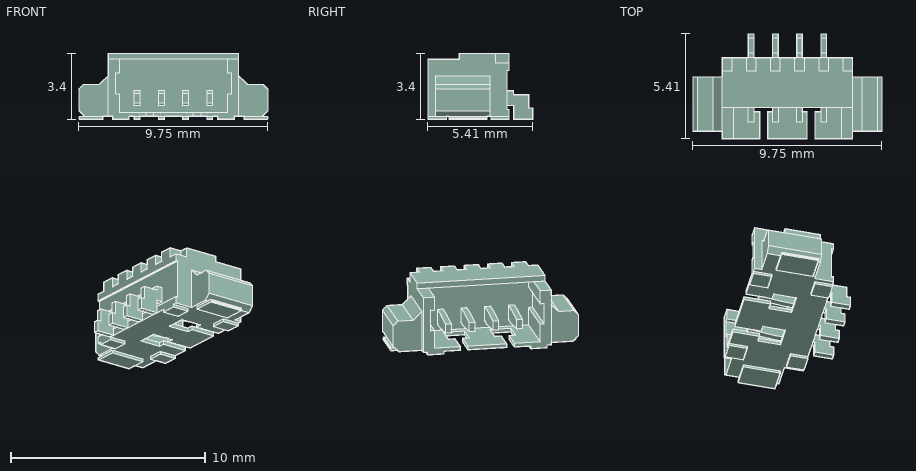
import cadquery as cq

body_width = 6.73
body_depth = 4.18
body_bottom = 0.15
body_top = 3.4
roof_thickness = 0.3
roof_front = 1.61
roof_underside = body_top - roof_thickness

rear_recess_depth = 0.1
rear_recess_bottom = 0.51
rear_recess_top = 2.52
rear_wall_face = body_depth - rear_recess_depth

cavity_width = 5.56
cavity_depth = 3.0
cavity_floor = 0.35
groove_width = 5.97
groove_bottom = 1.3
groove_top = 2.4

notch_width = 0.5
notch_length = 0.69
notch_depth = 0.51

opening_offset = 1.22
slot_width = 0.4
window_width = 1.09
window_front = 1.4
window_back = 2.6

overall_width = 9.75
wing_front = 0.38
wing_back = 3.19
wing_root_top = 2.24
wing_root_x = 3.83
wing_top = 1.8
wing_top_chamfer = 0.24
wing_bottom_chamfer = 0.29
tab_inner_x = 3.64
tab_front = 1.08
tab_back = 3.04
tab_chamfer = 0.04

foot_inner_x = 2.28
foot_outer_x = 3.14
front_foot_length = 0.97
rear_foot_length = 0.94

contact_count = 4
contact_pitch = 1.25
contact_width = 0.3
contact_bottom = 0.7
contact_top = 1.48
contact_tip = 0.88
taper_start = 2.34
tip_taper = 0.15
leg_front = 4.42
leg_shoulder_back = 5.21
leg_shoulder_top = 1.27
toe_back = 5.41
toe_top = 0.59


def block(x_range, y_range, z_range):
    """Box spanning the given X, Y and Z ranges."""
    size = [high - low for low, high in (x_range, y_range, z_range)]
    corner = (x_range[0], y_range[0], z_range[0])
    return cq.Workplane("XY").box(*size, centered=False).translate(corner)


def centered_block(width, y_range, z_range, center_x=0.0):
    """Box of the given width, centred on center_x."""
    return block((center_x - width / 2, center_x + width / 2), y_range, z_range)


def extrude_along_y(points, front, back):
    """Extrude an X-Z outline from Y = front to Y = back."""
    return cq.Workplane("XZ", origin=(0, front, 0)).polyline(points).close().extrude(front - back)


def make_housing():
    outline = [
        (0, body_bottom),
        (0, roof_underside),
        (roof_front, roof_underside),
        (roof_front, body_top),
        (body_depth, body_top),
        (body_depth, rear_recess_top),
        (rear_wall_face, rear_recess_top),
        (rear_wall_face, rear_recess_bottom),
        (body_depth, rear_recess_bottom),
        (body_depth, body_bottom),
    ]
    housing = cq.Workplane("YZ", origin=(-body_width / 2, 0, 0)).polyline(outline).close().extrude(body_width)
    housing = housing.cut(centered_block(cavity_width, (0, cavity_depth), (cavity_floor, roof_underside)))
    return housing.cut(centered_block(groove_width, (0, cavity_depth), (groove_bottom, groove_top)))


def cut_roof_notches(housing):
    """Notches at both rear corners and evenly between them."""
    spacing = (body_width - notch_width) / (contact_count + 1)
    for index in range(contact_count + 2):
        left = -body_width / 2 + index * spacing
        y_range = (body_depth - notch_length, body_depth)
        housing = housing.cut(block((left, left + notch_width), y_range, (body_top - notch_depth, body_top)))
    return housing


def cut_floor_openings(housing):
    floor_range = (body_bottom, cavity_floor)
    for center in (-opening_offset, opening_offset):
        housing = housing.cut(centered_block(slot_width, (0, window_front), floor_range, center))
        housing = housing.cut(centered_block(window_width, (window_front, window_back), floor_range, center))
    return housing


def make_right_side():
    """Wing, solder tab and feet on the +X side."""
    outer = overall_width / 2
    wing_outline = [
        (body_width / 2, body_bottom),
        (body_width / 2, wing_root_top),
        (wing_root_x, wing_top),
        (outer - wing_top_chamfer, wing_top),
        (outer, wing_top - wing_top_chamfer),
        (outer, body_bottom + wing_bottom_chamfer),
        (outer - wing_bottom_chamfer, body_bottom),
    ]
    side = extrude_along_y(wing_outline, wing_front, wing_back)
    tab = block((tab_inner_x, outer), (tab_front, tab_back), (0, body_bottom))
    side = side.union(tab.edges(">X and |Y").chamfer(tab_chamfer))
    for y_range in ((0, front_foot_length), (body_depth - rear_foot_length, body_depth)):
        side = side.union(block((foot_inner_x, foot_outer_x), y_range, (0, body_bottom)))
    return side


def make_contact(center):
    """Pin with a tapered tip, passing through the rear wall to a stepped solder leg."""
    outline = [
        (contact_tip, contact_bottom + tip_taper),
        (contact_tip, contact_top - tip_taper),
        (taper_start, contact_top),
        (leg_front, contact_top),
        (leg_front, leg_shoulder_top),
        (leg_shoulder_back, leg_shoulder_top),
        (leg_shoulder_back, toe_top),
        (toe_back, toe_top),
        (toe_back, 0),
        (leg_front, 0),
        (leg_front, contact_bottom),
        (taper_start, contact_bottom),
    ]
    left = center - contact_width / 2
    return cq.Workplane("YZ", origin=(left, 0, 0)).polyline(outline).close().extrude(contact_width)


result = cut_floor_openings(cut_roof_notches(make_housing()))
right_side = make_right_side()
result = result.union(right_side).union(right_side.mirror("YZ"))
for index in range(contact_count):
    contact_x = (index - (contact_count - 1) / 2) * contact_pitch
    result = result.union(make_contact(contact_x))